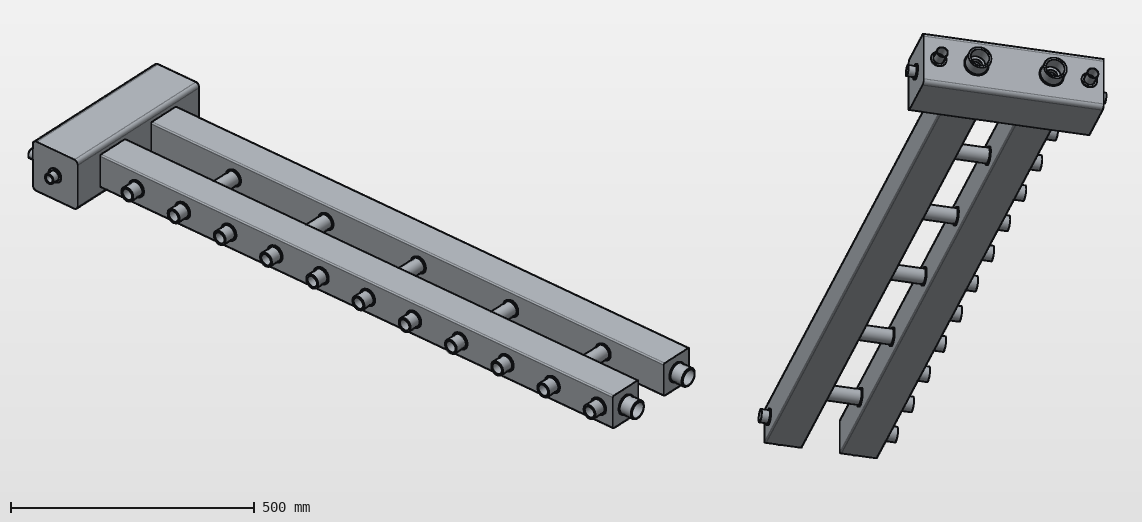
import cadquery as cq

total_length = 1569.0
header_side = 121.0
header_length = 383.0
header_corner_radius = 10.0
beam_side = 80.0
beam_corner_radius = 3.0
beam_spacing = 160.0

stub_length = 30.0
outlet_length = 33.0
short_stub_length = 19.0

main_pipe = (49.0, 40.0, 52.0)
outlet_pipe = (42.0, 36.0, 45.0)
branch_pipe = (33.0, 25.0, 40.0)
drain_pipe = (28.0, 22.0, 35.0)
side_pipe = (24.0, 22.0, 33.0)
vent_pipe = (24.0, 17.0, 33.0)
collar_height = 2.4
outlet_chamfer = 2.0

passage_diameter = 25.0
passage_depth = 10.0
pilot_diameter = 7.5
pilot_depth = 19.0

branch_count = 11
first_branch_from_tip = 250.0
last_branch_from_tip = 1498.0
side_stub_offset = 160.0

header_face = header_side / 2
header_end = header_length / 2
left_tip = -header_face - stub_length
beam_end = left_tip + total_length - outlet_length
beam_offset = beam_spacing / 2
beam_places = (-beam_offset, beam_offset)
outer_face = beam_offset + beam_side / 2
inner_face = beam_offset - beam_side / 2
first_branch = left_tip + first_branch_from_tip
last_branch = left_tip + last_branch_from_tip
branch_pitch = (last_branch - first_branch) / (branch_count - 1)
branch_places = [first_branch + i * branch_pitch for i in range(branch_count)]

LEFT = (-1, 0, 0)
RIGHT = (1, 0, 0)
FRONT = (0, -1, 0)
BACK = (0, 1, 0)


def cylinder(x, y, direction, diameter, length):
    """Solid cylinder at mid height, growing from (x, y) in the given direction."""
    return cq.Workplane(
        cq.Solid.makeCylinder(diameter / 2, length, cq.Vector(x, y, 0), cq.Vector(*direction))
    )


def add_stub(body, x, y, direction, pipe, length):
    """Weld a pipe stub and its collar onto a face; the bore stops at that face."""
    outside, bore, collar = pipe
    body = body.union(cylinder(x, y, direction, outside, length))
    body = body.union(cylinder(x, y, direction, collar, collar_height))
    return body.cut(cylinder(x, y, direction, bore, length))


def add_strut(body, x):
    """Join the beams with a solid round strut that has a weld collar at each end."""
    outside, _, collar = branch_pipe
    body = body.union(cylinder(x, -inner_face, BACK, outside, 2 * inner_face))
    body = body.union(cylinder(x, -inner_face, BACK, collar, collar_height))
    return body.union(cylinder(x, inner_face, FRONT, collar, collar_height))


def make_beam(y):
    """Square beam with rounded long edges, starting inside the header."""
    return (
        cq.Workplane("YZ")
        .center(y, 0)
        .rect(beam_side, beam_side)
        .extrude(beam_end)
        .edges("|X")
        .fillet(beam_corner_radius)
    )


result = (
    cq.Workplane("XY")
    .box(header_side, header_length, header_side)
    .edges("|Y")
    .fillet(header_corner_radius)
)

for y in beam_places:
    result = result.union(make_beam(y))
for x in branch_places[1::2]:
    result = add_strut(result, x)

for y in beam_places:
    result = add_stub(result, beam_end, y, RIGHT, outlet_pipe, outlet_length)
outlet_rims = result.faces(">X").edges(cq.selectors.RadiusNthSelector(-1))
result = outlet_rims.chamfer(outlet_chamfer)

for y in beam_places:
    result = add_stub(result, -header_face, y, LEFT, main_pipe, stub_length)
    result = result.cut(cylinder(-header_face, y, RIGHT, passage_diameter, passage_depth))
    result = result.cut(cylinder(-header_face, y, RIGHT, pilot_diameter, pilot_depth))

for y in (-side_stub_offset, side_stub_offset):
    result = add_stub(result, -header_face, y, LEFT, side_pipe, stub_length)

for y, outward, inward in ((-header_end, FRONT, BACK), (header_end, BACK, FRONT)):
    result = add_stub(result, 0, y, outward, vent_pipe, short_stub_length)
    result = result.cut(cylinder(0, y, inward, pilot_diameter, pilot_depth))

for x in branch_places:
    result = add_stub(result, x, -outer_face, FRONT, branch_pipe, stub_length)

result = add_stub(result, last_branch, outer_face, BACK, drain_pipe, short_stub_length)